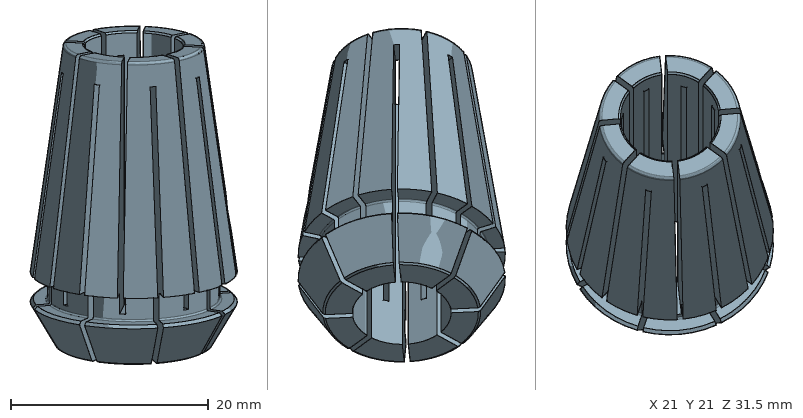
import cadquery as cq
import math

height = 31.5
max_radius = 10.5
bore_diameter = 10.0

head_angle = 30.0
head_rim_height = 4.47
head_bevel = 0.3
bottom_edge_chamfer = 0.15

groove_bottom = head_rim_height + head_bevel
groove_top = 7.65
groove_radius = 8.73
groove_fillet = 0.2

taper_angle = 8.0
top_edge_fillet = 0.3
bore_edge_chamfer = 0.2

slit_count = 8
slit_width = 0.6
slit_length = max_radius + 0.3
slit_pitch = 360.0 / slit_count
bottom_slit_end = 28.98
top_slit_end = 5.5

bore_radius = bore_diameter / 2
head_bottom_radius = max_radius - head_rim_height * math.tan(math.radians(head_angle))
top_radius = max_radius - (height - groove_top) * math.tan(math.radians(taper_angle))


def make_body():
    """Revolve the outer outline about Z, then round or bevel its edges and bore it."""
    outline = (
        cq.Workplane("XZ")
        .moveTo(0, 0)
        .lineTo(head_bottom_radius, 0)
        .lineTo(max_radius, head_rim_height)
        .lineTo(max_radius - head_bevel, groove_bottom)
        .lineTo(groove_radius, groove_bottom)
        .lineTo(groove_radius, groove_top)
        .lineTo(max_radius, groove_top)
        .lineTo(top_radius, height)
        .lineTo(0, height)
        .close()
    )
    body = outline.revolve(360, (0, 0, 0), (0, 1, 0))
    body = body.faces("<Z").edges().chamfer(bottom_edge_chamfer)
    body = body.faces(">Z").edges().fillet(top_edge_fillet)
    groove_corners = cq.selectors.BoxSelector(
        (-max_radius, -max_radius, groove_bottom - groove_fillet),
        (max_radius, max_radius, groove_top + groove_fillet),
    )
    smallest_circle = cq.selectors.RadiusNthSelector(0)
    body = body.edges(groove_corners).edges(smallest_circle).fillet(groove_fillet)
    body = body.cut(cq.Workplane("XY").circle(bore_radius).extrude(height))
    return body.faces(">Z").edges(smallest_circle).chamfer(bore_edge_chamfer)


def make_slits(bottom, top, start_angle):
    """Radial slits through the wall, equally spaced about Z."""
    slits = cq.Workplane("XY")
    for index in range(slit_count):
        slit = (
            cq.Workplane("XY")
            .box(slit_length, slit_width, top - bottom, centered=(False, True, False))
            .translate((0, 0, bottom))
            .rotate((0, 0, 0), (0, 0, 1), start_angle + index * slit_pitch)
        )
        slits = slits.add(slit)
    return slits.combine()


body = make_body()
bottom_slits = make_slits(0, bottom_slit_end, 0)
top_slits = make_slits(top_slit_end, height, slit_pitch / 2)
result = body.cut(bottom_slits).cut(top_slits)